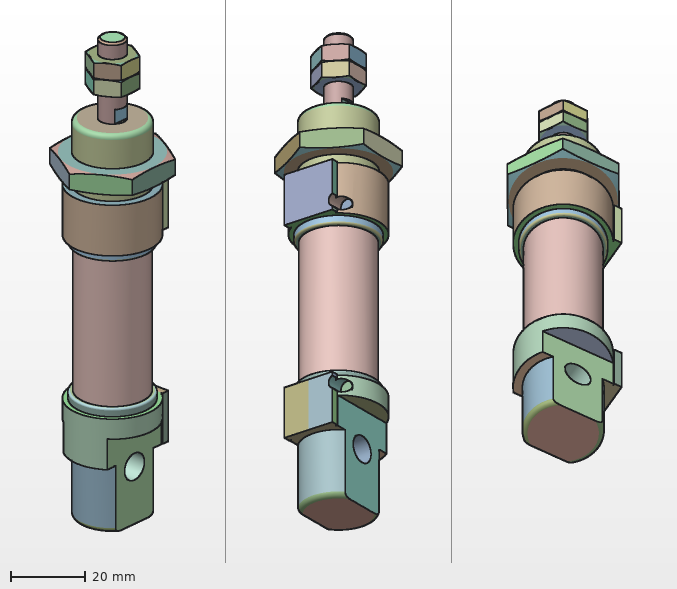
import cadquery as cq
import math


TOTAL_HEIGHT = 142.0
REAR_COLLAR_BOTTOM = 19.9
CAP_LENGTH = 15.0
LIP_LENGTH = 2.4
FRONT_COLLAR_BOTTOM = 83.4
NOSE_TOP = 118.0

rear_collar_top = REAR_COLLAR_BOTTOM + CAP_LENGTH
front_collar_top = FRONT_COLLAR_BOTTOM + CAP_LENGTH

TUBE_DIAMETER = 21.5
NOSE_DIAMETER = 22.0
LIP_DIAMETER = 24.0
COLLAR_DIAMETER = 27.0
LIP_ROUND = 0.5
END_ROUND = 1.4

BOSS_WIDTH = 16.2
BOSS_INNER_Y = 11.2

LUG_WIDTH = 15.9
LUG_SHOULDER = 29.0
PIN_HOLE_DIAMETER = 8.0
PIN_HOLE_HEIGHT = 17.0

SCREW_HOLE_DIAMETER = 4.0
SCREW_HOLE_X = -8.8
SCREW_HOLE_BOTTOM_Y = 8.0
SCREW_HOLE_INSET = 3.0

ROD_DIAMETER = 8.0
ROD_CHAMFER = 0.64
ROD_FLAT_WIDTH = 6.1
ROD_FLAT_LENGTH = 4.3

MOUNTING_NUT_WIDTH = 30.0
MOUNTING_NUT_HEIGHT = 6.0
MOUNTING_NUT_BOTTOM = 102.1
LOCK_NUT_WIDTH = 13.0
LOCK_NUT_HEIGHT = 5.0
LOCK_NUT_BOTTOM = 127.2
LOCK_NUT_COUNT = 2
NUT_FACE_RATIO = 0.98
NUT_CHAMFER_ANGLE = 15.0


def cylinder(diameter, bottom, top):
    """Upright cylinder on the Z axis."""
    return cq.Workplane("XY").workplane(offset=bottom).circle(diameter / 2).extrude(top - bottom)


def box(width, y_min, y_max, bottom, top):
    """Block centred on X = 0."""
    corner_plane = cq.Workplane("XY", origin=(0, y_min, bottom))
    return corner_plane.box(width, y_max - y_min, top - bottom, centered=(True, False, False))


def side_flats(kept_width, reach, bottom, top):
    """Cutter that leaves only the middle kept_width in X of anything within reach of the axis."""
    outside = box(2 * reach, -reach, reach, bottom, top)
    return outside.cut(box(kept_width, -reach, reach, bottom, top))


def collar(bottom):
    """Round collar of an end cap."""
    return cylinder(COLLAR_DIAMETER, bottom, bottom + CAP_LENGTH)


def boss(bottom):
    """Flat-sided boss on the +Y side of a collar."""
    return box(BOSS_WIDTH, BOSS_INNER_Y, COLLAR_DIAMETER / 2, bottom, bottom + CAP_LENGTH)


def screw_hole(height):
    """Cutter for a blind hole along Y, open at the boss face."""
    depth = COLLAR_DIAMETER / 2 - SCREW_HOLE_BOTTOM_Y
    mouth = cq.Plane(origin=(SCREW_HOLE_X, COLLAR_DIAMETER / 2, height), xDir=(-1, 0, 0), normal=(0, -1, 0))
    return cq.Workplane(mouth).circle(SCREW_HOLE_DIAMETER / 2).extrude(depth)


def rear_cap():
    """Collar, tube-side lip and clevis lug, with the boss added after the lug flats so it stays full width."""
    lug = cylinder(NOSE_DIAMETER, 0, rear_collar_top).faces("<Z").edges().fillet(END_ROUND)
    lip = cylinder(LIP_DIAMETER, REAR_COLLAR_BOTTOM, rear_collar_top + LIP_LENGTH)
    lip = lip.faces(">Z").edges().fillet(LIP_ROUND)
    pin_hole = (
        cq.Workplane("YZ", origin=(0, 0, PIN_HOLE_HEIGHT))
        .circle(PIN_HOLE_DIAMETER / 2)
        .extrude(COLLAR_DIAMETER / 2, both=True)
    )
    cap = lug.union(collar(REAR_COLLAR_BOTTOM)).union(lip)
    cap = cap.cut(side_flats(LUG_WIDTH, COLLAR_DIAMETER, 0, LUG_SHOULDER)).cut(pin_hole)
    cap = cap.union(boss(REAR_COLLAR_BOTTOM))
    return cap.cut(screw_hole(rear_collar_top - SCREW_HOLE_INSET))


def front_cap():
    """Collar, tube-side lip and the nose that carries the mounting nut."""
    nose = cylinder(NOSE_DIAMETER, FRONT_COLLAR_BOTTOM, NOSE_TOP).faces(">Z").edges().fillet(END_ROUND)
    lip = cylinder(LIP_DIAMETER, FRONT_COLLAR_BOTTOM - LIP_LENGTH, front_collar_top)
    lip = lip.faces("<Z").edges().fillet(LIP_ROUND)
    cap = nose.union(collar(FRONT_COLLAR_BOTTOM)).union(lip).union(boss(FRONT_COLLAR_BOTTOM))
    return cap.cut(screw_hole(FRONT_COLLAR_BOTTOM + SCREW_HOLE_INSET))


def make_housing():
    """Both caps joined by the tube, with a blind bore for the rod in the nose."""
    tube = cylinder(TUBE_DIAMETER, rear_collar_top, FRONT_COLLAR_BOTTOM)
    rod_bore = cylinder(ROD_DIAMETER, front_collar_top, NOSE_TOP)
    return rear_cap().union(tube).union(front_cap()).cut(rod_bore)


def make_rod():
    """Rod seated in the nose, with two wrench flats just outside it."""
    rod = cylinder(ROD_DIAMETER, front_collar_top, TOTAL_HEIGHT).faces(">Z").edges().chamfer(ROD_CHAMFER)
    return rod.cut(side_flats(ROD_FLAT_WIDTH, ROD_DIAMETER, NOSE_TOP, NOSE_TOP + ROD_FLAT_LENGTH))


def make_nut(width, height, bottom, bore_diameter):
    """Hexagon nut with its corners turned down at both ends."""
    corner_radius = width / math.sqrt(3)
    face_radius = NUT_FACE_RATIO * width / 2
    drop = (corner_radius - face_radius) * math.tan(math.radians(NUT_CHAMFER_ANGLE))
    hexagon = (
        cq.Workplane("XY")
        .polygon(6, 2 * corner_radius)
        .extrude(height)
        .rotate((0, 0, 0), (0, 0, 1), 30)
    )
    turned = (
        cq.Workplane("XZ")
        .moveTo(bore_diameter / 2, 0)
        .lineTo(face_radius, 0)
        .lineTo(corner_radius, drop)
        .lineTo(corner_radius, height - drop)
        .lineTo(face_radius, height)
        .lineTo(bore_diameter / 2, height)
        .close()
        .revolve(360, (0, 0, 0), (0, 1, 0))
    )
    return hexagon.intersect(turned).translate((0, 0, bottom))


housing = make_housing()
rod = make_rod()
mounting_nut = make_nut(MOUNTING_NUT_WIDTH, MOUNTING_NUT_HEIGHT, MOUNTING_NUT_BOTTOM, NOSE_DIAMETER)
lock_nuts = [
    make_nut(LOCK_NUT_WIDTH, LOCK_NUT_HEIGHT, LOCK_NUT_BOTTOM + i * LOCK_NUT_HEIGHT, ROD_DIAMETER)
    for i in range(LOCK_NUT_COUNT)
]

result = cq.Compound.makeCompound(
    [housing.val(), rod.val(), mounting_nut.val(), *[nut.val() for nut in lock_nuts]]
)